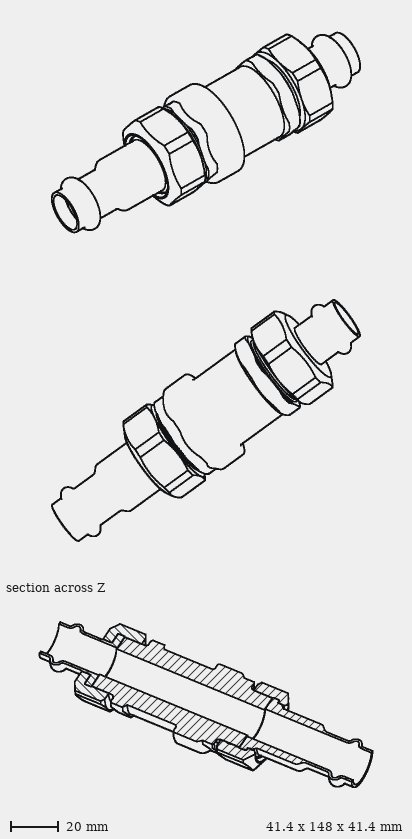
import cadquery as cq
import math

OVERALL_LENGTH = 148.0
PIPE_TIP = OVERALL_LENGTH / 2

PIPE_OD = 19.0
PIPE_WALL = 1.3
BEAD_RADIUS = 2.7
BEAD_BLEND = 1.3
BEAD_FROM_TIP = 8.0
FLANGE_THICKNESS = 3.0

SLEEVE_OD = 24.1
SLEEVE_END_Y = -51.6
SLEEVE_EDGE_BLEND = 1.8
SHANK_OD = 27.0
SHANK_DEPTH = 2.2

NUT_FLATS = 37.0
NUT_CORNERS = 40.5
NUT_REAR_LENGTH = 15.7
NUT_FRONT_LENGTH = 16.4
NUT_REAR_Y = 53.9
NUT_FRONT_Y = -31.2
NUT_REAR_FACE = 32.0
NUT_FRONT_FACE = 30.5
NUT_LIP = 4.5
NUT_MOUTH = 29.3
CHAMFER_ANGLE = 30.0
HEXAGON_HALF_ANGLE = 30.0

NECK_DIAMETER = 30.0
NECK_FOOT_DIAMETER = 31.7
NECK_FOOT_LENGTH = 0.7
HEX_FLATS = 35.0
HEX_CORNERS = 37.9
HEX_FACE = 36.1
HEX_EDGE_BLEND = 1.8
HEX_REAR_Y = 35.7
HEX_FRONT_Y = -13.5
HEX_LENGTH = 6.0
BARREL_DIAMETER = 33.7
COLLAR_DIAMETER = 41.4
COLLAR_REAR_Y = 5.0
COLLAR_FRONT_Y = -6.5
COLLAR_REAR_BLEND = 0.9
COLLAR_FRONT_BLEND = 1.5
BARREL_BLEND = 1.0
HOUSING_BORE = 15.1

TOLERANCE = 0.01


def chamfer_depth(outer_diameter, inner_diameter):
    """Axial length of a hexagon chamfer between two diameters."""
    return (outer_diameter - inner_diameter) / 2 * math.tan(math.radians(CHAMFER_ANGLE))


def turned(points):
    """Solid of revolution about Y from (radius, y) outline points."""
    return cq.Workplane("XY").polyline(points).close().revolve(360, (0, 0), (0, 1))


def cylinder(diameter, start_y, end_y):
    radius = diameter / 2
    return turned([(0, start_y), (radius, start_y), (radius, end_y), (0, end_y)])


def round_edge(body, diameter, y, blend_radius):
    """Fillet the circular edges of a given diameter at station y."""
    circles = [
        edge for edge in body.edges("%CIRCLE").vals()
        if math.isclose(edge.radius(), diameter / 2, abs_tol=TOLERANCE)
        and math.isclose(edge.Center().y, y, abs_tol=TOLERANCE)
    ]
    return body.newObject(circles).fillet(blend_radius)


def hexagon(across_flats, start_y, end_y):
    """Hexagonal prism along Y with two flats facing +Z and -Z."""
    across_corners = across_flats / math.cos(math.radians(HEXAGON_HALF_ANGLE))
    return (
        cq.Workplane("XZ", origin=(0, end_y, 0))
        .polygon(6, across_corners)
        .extrude(end_y - start_y)
    )


def bead(center_y, section_radius, blend_radius):
    """Round bead whose section is centred on the pipe surface, blended into a cylinder at both sides."""
    center_r = PIPE_OD / 2
    blend_center_r = center_r + BEAD_BLEND
    foot_r = blend_center_r - blend_radius
    reach = section_radius + blend_radius
    half_width = math.sqrt(reach**2 - BEAD_BLEND**2)
    share = section_radius / reach
    tangent_r = center_r + BEAD_BLEND * share
    tangent_offset = half_width * share
    half_angle = math.acos(BEAD_BLEND / reach) / 2
    mid_r = blend_center_r - blend_radius * math.cos(half_angle)
    mid_offset = half_width - blend_radius * math.sin(half_angle)
    return (
        cq.Workplane("XY")
        .moveTo(0, center_y - half_width)
        .lineTo(foot_r, center_y - half_width)
        .threePointArc((mid_r, center_y - mid_offset), (tangent_r, center_y - tangent_offset))
        .threePointArc((center_r + section_radius, center_y), (tangent_r, center_y + tangent_offset))
        .threePointArc((mid_r, center_y + mid_offset), (foot_r, center_y + half_width))
        .lineTo(0, center_y + half_width)
        .close()
        .revolve(360, (0, 0), (0, 1))
    )


def hollow_pipe(outside, bead_y):
    """Add the press bead to a pipe blank and bore it, following the bead on the inside."""
    bore = cylinder(PIPE_OD - 2 * PIPE_WALL, -PIPE_TIP, PIPE_TIP)
    groove = bead(bead_y, BEAD_RADIUS - PIPE_WALL, BEAD_BLEND + PIPE_WALL)
    return outside.union(bead(bead_y, BEAD_RADIUS, BEAD_BLEND)).cut(bore).cut(groove)


def make_rear_pipe():
    """Plain pipe leaving the +Y nut."""
    lip_y = NUT_REAR_Y - NUT_LIP
    flange = cylinder(NECK_DIAMETER, lip_y - FLANGE_THICKNESS, lip_y)
    outside = cylinder(PIPE_OD, lip_y, PIPE_TIP).union(flange)
    return hollow_pipe(outside, PIPE_TIP - BEAD_FROM_TIP)


def make_front_pipe():
    """Pipe leaving the -Y nut, thickened to a sleeve with a 45 degree shoulder."""
    lip_y = NUT_FRONT_Y + NUT_LIP
    flange_y = lip_y + FLANGE_THICKNESS
    pipe_r = PIPE_OD / 2
    sleeve_r = SLEEVE_OD / 2
    shank_r = SHANK_OD / 2
    taper_y = SLEEVE_END_Y + sleeve_r - pipe_r
    shank_y = NUT_FRONT_Y + SHANK_DEPTH
    outside = turned([
        (0, -PIPE_TIP), (pipe_r, -PIPE_TIP), (pipe_r, SLEEVE_END_Y), (sleeve_r, taper_y),
        (sleeve_r, shank_y - (shank_r - sleeve_r)), (shank_r, shank_y), (shank_r, lip_y), (0, lip_y),
    ])
    outside = round_edge(outside, SLEEVE_OD, taper_y, SLEEVE_EDGE_BLEND)
    outside = round_edge(outside, PIPE_OD, SLEEVE_END_Y, SLEEVE_EDGE_BLEND)
    flange = cylinder(NECK_DIAMETER, lip_y, flange_y)
    return hollow_pipe(outside.union(flange), BEAD_FROM_TIP - PIPE_TIP)


def nut_blank(length, face_diameter):
    """Chamfered hexagon with its outer face at y = 0, reaching to y = -length, with the neck socket."""
    corner_r = NUT_CORNERS / 2
    outer_chamfer = chamfer_depth(NUT_CORNERS, face_diameter)
    inner_chamfer = chamfer_depth(NUT_CORNERS, NUT_FLATS)
    envelope = turned([
        (0, 0), (face_diameter / 2, 0), (corner_r, -outer_chamfer),
        (corner_r, inner_chamfer - length), (NUT_FLATS / 2, -length), (0, -length),
    ])
    socket = cylinder(NECK_DIAMETER, -length, -NUT_LIP)
    return hexagon(NUT_FLATS, -length, 0).intersect(envelope).cut(socket)


def make_rear_nut():
    bore = cylinder(PIPE_OD, -NUT_LIP, 0)
    return nut_blank(NUT_REAR_LENGTH, NUT_REAR_FACE).cut(bore).translate((0, NUT_REAR_Y, 0))


def make_front_nut():
    mouth_r = NUT_MOUTH / 2
    shank_r = SHANK_OD / 2
    opening = turned([
        (0, 0), (mouth_r, 0), (shank_r, shank_r - mouth_r), (shank_r, -NUT_LIP), (0, -NUT_LIP),
    ])
    nut = nut_blank(NUT_FRONT_LENGTH, NUT_FRONT_FACE).cut(opening)
    return nut.rotate((0, 0, 0), (0, 0, 1), 180).translate((0, NUT_FRONT_Y, 0))


def housing_hexagon():
    """Hexagon with its neck-side face at y = 0 and a far chamfer down to the barrel."""
    corner_r = HEX_CORNERS / 2
    end_y = -HEX_LENGTH - chamfer_depth(HEX_CORNERS, BARREL_DIAMETER)
    envelope = turned([
        (0, 0), (HEX_FACE / 2, 0), (corner_r, -chamfer_depth(HEX_CORNERS, HEX_FACE)),
        (corner_r, -HEX_LENGTH), (BARREL_DIAMETER / 2, end_y), (0, end_y),
    ])
    prism = hexagon(HEX_FLATS, end_y, 0)
    return prism.intersect(envelope).edges("|Y").fillet(HEX_EDGE_BLEND)


def make_housing():
    neck_r = NECK_DIAMETER / 2
    foot_r = NECK_FOOT_DIAMETER / 2
    barrel_r = BARREL_DIAMETER / 2
    collar_r = COLLAR_DIAMETER / 2
    seat = NUT_LIP + FLANGE_THICKNESS
    rear_end = NUT_REAR_Y - seat
    front_end = NUT_FRONT_Y + seat
    cone_end = COLLAR_FRONT_Y - (collar_r - barrel_r)

    barrel = turned([
        (0, HEX_REAR_Y), (barrel_r, HEX_REAR_Y), (barrel_r, COLLAR_REAR_Y), (collar_r, COLLAR_REAR_Y),
        (collar_r, COLLAR_FRONT_Y), (barrel_r, cone_end), (0, cone_end),
    ])
    barrel = round_edge(barrel, BARREL_DIAMETER, COLLAR_REAR_Y, BARREL_BLEND)
    barrel = round_edge(barrel, COLLAR_DIAMETER, COLLAR_REAR_Y, COLLAR_REAR_BLEND)
    barrel = round_edge(barrel, COLLAR_DIAMETER, COLLAR_FRONT_Y, COLLAR_FRONT_BLEND)

    rear_hexagon = housing_hexagon().translate((0, HEX_REAR_Y, 0))
    front_hexagon = (
        housing_hexagon()
        .rotate((0, 0, 0), (0, 0, 1), 180)
        .translate((0, HEX_FRONT_Y, 0))
    )
    necks = turned([
        (0, rear_end), (neck_r, rear_end), (neck_r, HEX_REAR_Y + NECK_FOOT_LENGTH), (foot_r, HEX_REAR_Y),
        (foot_r, HEX_FRONT_Y), (neck_r, HEX_FRONT_Y - NECK_FOOT_LENGTH), (neck_r, front_end), (0, front_end),
    ])
    bore = cylinder(HOUSING_BORE, front_end, rear_end)
    return barrel.union(rear_hexagon).union(front_hexagon).union(necks).cut(bore)


rear_pipe = make_rear_pipe()
front_pipe = make_front_pipe()
rear_nut = make_rear_nut()
front_nut = make_front_nut()
housing = make_housing()

bodies = [housing, rear_nut, front_nut, rear_pipe, front_pipe]
result = cq.Compound.makeCompound([body.val() for body in bodies])